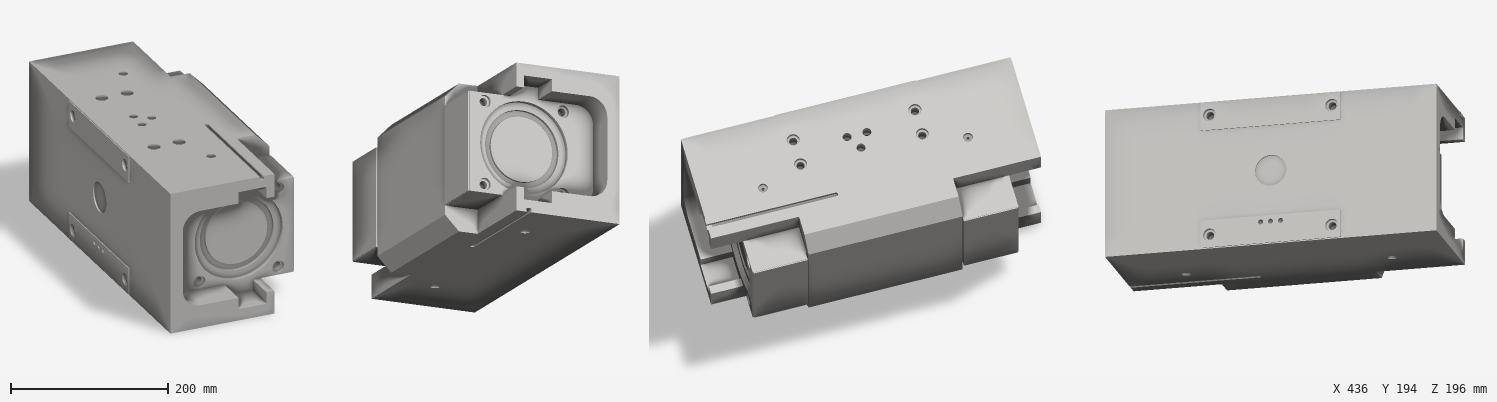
import cadquery as cq
import math


length = 435.0
width = 196.0
half_length = length / 2
half_width = width / 2
base_depth = 84.0
rail_top = 145.0

channel_width = 132.5
channel_floor = 17.5
channel_corner_radius = 24.5
groove_width = 164.5
groove_bottom = 95.0
groove_top = 134.5

jaw_outer_x = 175.3
jaw_inner_x = 101.5
jaw_top = 191.0
jaw_pad_height = 1.5
jaw_pad_inset = 1.5
jaw_pad_side_inset = 0.5
jaw_relief_depth = 9.0
jaw_axis_y = 114.5
seat_radius = 61.5
seat_depth = 6.5
bore_radius = 51.5
bore_depth = 11.0
boss_radius = 43.0
boss_height = 3.5
jaw_hole_spacing = 110.0

cover_half_length = jaw_inner_x
cover_top = jaw_top
cover_chamfer = 19.5

pad_length = 184.5
pad_width = 36.5
pad_height = 1.5
pad_edge_gap = 1.5
pad_center_z = half_width - pad_edge_gap - pad_width / 2
mount_hole_offset = 80.2
recess_radius = 20.5
recess_depth = 2.0
port_spacing = 13.0
port_z = -68.5
port_radius = 3.25
port_depth = 5.2

side_mount_rows = (39.2, 74.5)
air_port_x = 13.0
air_port_y = 53.0
air_port_core_radius = 3.0
vent_y = 72.5
vent_core_radius = 1.7
side_port_radius = 5.5
side_port_depth = 13.0
side_port_core_depth = 17.5

sleeve_radius = 8.5
sleeve_depth = 4.5
tap_radius = 5.2
tap_depth = 17.5
drill_point_angle = 118

rail_screw_x = 135.0
rail_screw_y = 94.0
rail_screw_radius = 6.0
rail_screw_depth = 4.0
rail_socket_radius = 2.0
rail_socket_depth = 8.0
slot_y = 127.5
slot_mouth_width = 5.2
slot_lip = 1.5
slot_width = 6.5
slot_depth = 5.2
slot_start_x = 45.5
tag_y = 125.0
tag_width = 15.5
tag_height = 5.5
tag_thickness = 1.0

MINUS_X = cq.Vector(-1, 0, 0)
PLUS_X = cq.Vector(1, 0, 0)
PLUS_Y = cq.Vector(0, 1, 0)
PLUS_Z = cq.Vector(0, 0, 1)
MINUS_Z = cq.Vector(0, 0, -1)


def block(x_range, y_range, z_range):
    """Box between two limits along each axis."""
    size = [high - low for low, high in (x_range, y_range, z_range)]
    corner = (x_range[0], y_range[0], z_range[0])
    return cq.Workplane(origin=corner).box(*size, centered=False)


def cylinder(radius, depth, mouth, direction):
    return cq.Workplane(cq.Solid.makeCylinder(radius, depth, mouth, direction))


def drilled_hole(mouth, direction, radius, depth):
    """Blind hole with a drill point; the depth is that of the full diameter."""
    point_height = radius / math.tan(math.radians(drill_point_angle / 2))
    point = cq.Solid.makeCone(radius, 0, point_height, mouth + direction * depth, direction)
    return cylinder(radius, depth, mouth, direction).union(cq.Workplane(point))


def stepped_hole(mouth, direction, outer_radius, outer_depth, core_radius, core_depth):
    """Counterbored drilled hole; both depths run from the mouth."""
    counterbore = cylinder(outer_radius, outer_depth, mouth, direction)
    return counterbore.union(drilled_hole(mouth, direction, core_radius, core_depth))


def side_port(x, y, core_radius):
    """Drilled port in the +Z side of the base, with a narrower core through its drill point."""
    mouth = cq.Vector(x, y, half_width)
    port = drilled_hole(mouth, MINUS_Z, side_port_radius, side_port_depth)
    return port.union(cylinder(core_radius, side_port_core_depth, mouth, MINUS_Z))


def mounting_hole(mouth, direction):
    return stepped_hole(mouth, direction, sleeve_radius, sleeve_depth, tap_radius, tap_depth)


def guide_profile(x_start, x_end, top):
    """Section that fills the channel and T groove, extruded along X."""
    foot = block(
        (x_start, x_end), (channel_floor, top), (-channel_width / 2, channel_width / 2)
    )
    foot = foot.faces("<Y").edges("|X").fillet(channel_corner_radius)
    tongue = block(
        (x_start, x_end), (groove_bottom, groove_top), (-groove_width / 2, groove_width / 2)
    )
    return foot.union(tongue)


def make_base():
    base = block((-half_length, half_length), (0, base_depth), (-half_width, half_width))
    base = base.cut(guide_profile(-half_length, half_length, rail_top))

    for pad_z in (-pad_center_z, pad_center_z):
        base = base.union(
            block(
                (-pad_length / 2, pad_length / 2),
                (-pad_height, 0),
                (pad_z - pad_width / 2, pad_z + pad_width / 2),
            )
        )

    base = base.cut(cylinder(recess_radius, recess_depth, cq.Vector(0, 0, 0), PLUS_Y))
    for x in (-port_spacing, 0, port_spacing):
        port_mouth = cq.Vector(x, -pad_height, port_z)
        base = base.cut(drilled_hole(port_mouth, PLUS_Y, port_radius, port_depth))

    for x in (-mount_hole_offset, mount_hole_offset):
        for z in (-mount_hole_offset, mount_hole_offset):
            base = base.cut(mounting_hole(cq.Vector(x, -pad_height, z), PLUS_Y))
        for y in side_mount_rows:
            base = base.cut(mounting_hole(cq.Vector(x, y, half_width), MINUS_Z))

    for x in (-air_port_x, air_port_x):
        base = base.cut(side_port(x, air_port_y, air_port_core_radius))
    base = base.cut(side_port(0, vent_y, vent_core_radius))
    return base


def make_rail():
    """Guide rail on the +Z side with its two screws."""
    rail = block(
        (-half_length, half_length), (base_depth, rail_top), (channel_width / 2, half_width)
    )
    rail = rail.cut(guide_profile(-half_length, half_length, rail_top))

    for x in (-rail_screw_x, rail_screw_x):
        rail = rail.cut(
            stepped_hole(
                cq.Vector(x, rail_screw_y, half_width),
                MINUS_Z,
                rail_screw_radius,
                rail_screw_depth,
                rail_socket_radius,
                rail_socket_depth,
            )
        )

    return rail


def round_ended_slot(width, depth, x_end):
    """Slot sunk from the +Z side, round at its start and open at x_end."""
    bottom = half_width - depth
    round_x = slot_start_x + width / 2
    channel = block(
        (round_x, x_end), (slot_y - width / 2, slot_y + width / 2), (bottom, half_width)
    )
    return channel.union(cylinder(width / 2, depth, cq.Vector(round_x, slot_y, bottom), PLUS_Z))


def cut_sensor_slot(rail):
    """T-slot that runs out through the +X end; its lips are narrower than its head."""
    x_end = half_length + tag_thickness
    mouth = round_ended_slot(slot_mouth_width, slot_depth, x_end)
    head = round_ended_slot(slot_width, slot_depth, x_end)
    lip_layer = block(
        (slot_start_x, x_end), (base_depth, rail_top), (half_width - slot_lip, half_width)
    )
    return rail.cut(mouth).cut(head.cut(lip_layer))


def add_end_tag(rail):
    """Thin tag on the +X end of the rail, around the mouth of the sensor slot."""
    tag = block(
        (half_length, half_length + tag_thickness),
        (tag_y - tag_width / 2, tag_y + tag_width / 2),
        (half_width - tag_height, half_width),
    )
    return rail.union(tag)


def make_jaw():
    """Jaw on the -X side; its outer end carries the round seat and four mounting holes."""
    jaw = guide_profile(-jaw_outer_x, -jaw_inner_x, jaw_top)
    pad_half_width = channel_width / 2 - jaw_pad_side_inset
    pad = block(
        (-jaw_outer_x + jaw_pad_inset, -jaw_inner_x - jaw_pad_inset),
        (jaw_top, jaw_top + jaw_pad_height),
        (-pad_half_width, pad_half_width),
    )
    jaw = jaw.union(pad)

    relief = block(
        (-jaw_inner_x - jaw_pad_inset, -jaw_inner_x),
        (jaw_top - jaw_relief_depth, jaw_top),
        (-channel_width / 2, channel_width / 2),
    )
    jaw = jaw.cut(relief)

    seat_center = cq.Vector(-jaw_outer_x, jaw_axis_y, 0)
    bore_floor = seat_center + PLUS_X * bore_depth
    jaw = jaw.cut(cylinder(seat_radius, seat_depth, seat_center, PLUS_X))
    jaw = jaw.cut(cylinder(bore_radius, bore_depth, seat_center, PLUS_X))
    jaw = jaw.union(cylinder(boss_radius, boss_height, bore_floor, MINUS_X))

    for side_y in (-0.5, 0.5):
        for side_z in (-0.5, 0.5):
            offset = cq.Vector(0, side_y * jaw_hole_spacing, side_z * jaw_hole_spacing)
            jaw = jaw.cut(mounting_hole(seat_center + offset, PLUS_X))
    return jaw


def make_cover():
    """Chamfered cover that bridges the two rails between the jaws."""
    cover = block(
        (-cover_half_length, cover_half_length), (rail_top, cover_top), (-half_width, half_width)
    )
    return cover.faces(">Y").edges("|X").chamfer(cover_chamfer)


base = make_base()
plain_rail = make_rail()
upper_rail = cut_sensor_slot(add_end_tag(plain_rail))
lower_rail = cut_sensor_slot(plain_rail).rotate((0, 0, 0), (0, 1, 0), 180)
left_jaw = make_jaw()
right_jaw = left_jaw.mirror("YZ")
cover = make_cover()

result = cq.Compound.makeCompound(
    [
        base.val(),
        upper_rail.val(),
        lower_rail.val(),
        left_jaw.val(),
        right_jaw.val(),
        cover.val(),
    ]
)